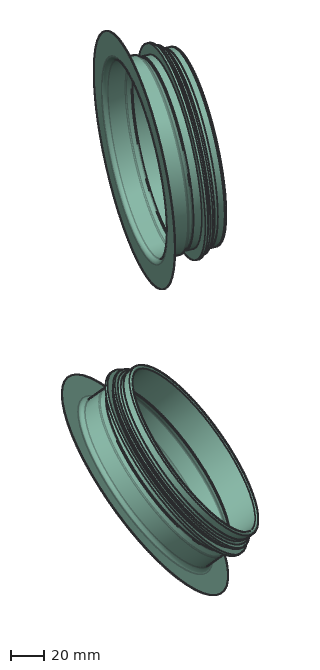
import cadquery as cq
import math

length = 39.0
sheet = 0.5
flange_radius = 160 / 2
body_outer = 124.0 / 2
neck_outer = 119.2 / 2
body_inner = body_outer - sheet
neck_inner = neck_outer - sheet
mouth_outer_bend = 3.2
mouth_inner_bend = mouth_outer_bend - sheet
shoulder_y = 14.5
neck_y = 18.0
taper_bend = 1.5

hem_bend = (body_outer - neck_inner) / 2
hem_inner_bend = hem_bend - sheet
hem_mid_radius = neck_inner + hem_bend
hem_bend_y = length - hem_bend
hem_end_y = 33.3

band_outer = 120.5 / 2
band_start_y = 18.4
main_lip_radius = 134.4 / 2
main_lip_y = 23.5
main_lip_width = 1.8
root_radius = 62.4
root_width = 0.5
second_lip_radius = 65.0
second_lip_y = 27.7
second_lip_width = 1.5
bead_radius = 63.2
bead_y = 29.6
bead_width = 1.5


def revolve_about_y(outline):
    return outline.close().revolve(360, (0, 0, 0), (0, 1, 0))


def make_collar():
    taper_angle = math.atan2(body_outer - neck_outer, neck_y - shoulder_y)
    corner_shift = sheet * math.tan(taper_angle / 2)
    mouth_radius = body_inner + mouth_outer_bend
    diagonal = math.sqrt(0.5)
    mouth_outer_mid = (
        mouth_radius - mouth_outer_bend * diagonal,
        mouth_outer_bend * (1 - diagonal),
    )
    mouth_inner_mid = (
        mouth_radius - mouth_inner_bend * diagonal,
        mouth_outer_bend - mouth_inner_bend * diagonal,
    )
    outline = (
        cq.Workplane("XY")
        .moveTo(flange_radius, 0)
        .lineTo(mouth_radius, 0)
        .threePointArc(mouth_outer_mid, (body_inner, mouth_outer_bend))
        .lineTo(body_inner, shoulder_y - corner_shift)
        .lineTo(neck_inner, neck_y - corner_shift)
        .lineTo(neck_inner, hem_bend_y)
        .threePointArc((hem_mid_radius, length), (body_outer, hem_bend_y))
        .lineTo(body_outer, hem_end_y)
        .lineTo(body_inner, hem_end_y)
        .lineTo(body_inner, hem_bend_y)
        .threePointArc((hem_mid_radius, hem_bend_y + hem_inner_bend), (neck_outer, hem_bend_y))
        .lineTo(neck_outer, neck_y)
        .lineTo(body_outer, shoulder_y)
        .lineTo(body_outer, mouth_outer_bend)
        .threePointArc(mouth_inner_mid, (mouth_radius, sheet))
        .lineTo(flange_radius, sheet)
    )
    collar = revolve_about_y(outline)

    bend_zone = cq.selectors.BoxSelector(
        (-flange_radius, shoulder_y - taper_bend, -flange_radius),
        (flange_radius, neck_y + taper_bend, flange_radius),
    )
    bend_edges = collar.edges("%CIRCLE").edges(bend_zone)
    return bend_edges.fillet(taper_bend)


def make_seal():
    root_y = main_lip_y + main_lip_width
    bead_back_y = bead_y + bead_width
    bead_round = bead_width / 2
    bead_side_radius = bead_radius - bead_round
    outline = (
        cq.Workplane("XY")
        .moveTo(neck_outer, band_start_y)
        .lineTo(band_outer, band_start_y)
        .lineTo(band_outer, main_lip_y)
        .lineTo(main_lip_radius, main_lip_y)
        .lineTo(main_lip_radius, root_y)
        .lineTo(root_radius, root_y)
        .lineTo(root_radius, root_y + root_width)
        .lineTo(body_inner, root_y + root_width)
        .lineTo(body_inner, second_lip_y)
        .lineTo(second_lip_radius, second_lip_y)
        .lineTo(second_lip_radius, second_lip_y + second_lip_width)
        .lineTo(body_inner, second_lip_y + second_lip_width)
        .lineTo(body_inner, bead_y)
        .lineTo(bead_side_radius, bead_y)
        .threePointArc((bead_radius, bead_y + bead_round), (bead_side_radius, bead_back_y))
        .lineTo(body_inner, bead_back_y)
        .lineTo(body_inner, hem_bend_y)
        .lineTo(neck_outer, hem_bend_y)
    )
    return revolve_about_y(outline)


collar = make_collar()
seal = make_seal()

result = cq.Compound.makeCompound([collar.solids().val(), seal.val()])